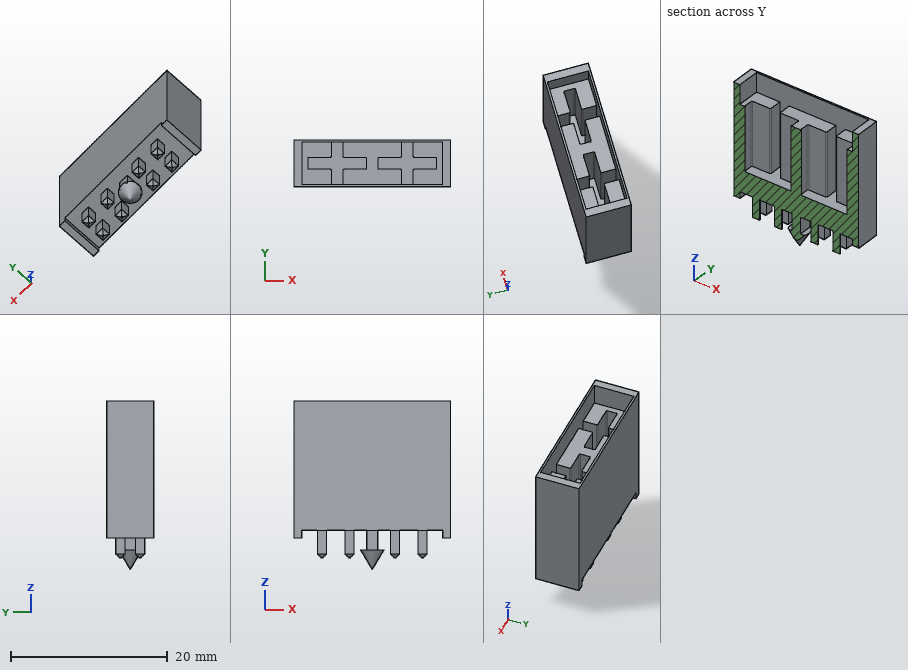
import cadquery as cq

housing_length = 20.0
housing_width = 6.0
housing_height = 16.5
foot_length = 1.03
foot_height = 0.99

recess_length = 17.93
recess_width = 5.45
recess_depth = 3.0

slot_spacing = 8.95
slot_width = 1.5
slot_length = 7.5
slot_depth = 10.0
slot_corner_radius = 0.15

pin_size = 1.2
pin_length = 3.5
pin_taper = 0.5
outer_pin_x = 6.4
inner_pin_x = 2.9
pin_row_y = 1.25

total_height = 21.5
post_size_x = 1.46
post_size_y = 2.43
post_length = 2.5
head_radius = 1.5
head_height = total_height - housing_height - post_length


def make_housing():
    """Rectangular body standing on a foot at each end, with an open-topped recess."""
    body = cq.Workplane("XY").box(
        housing_length, housing_width, housing_height, centered=(True, True, False)
    )
    foot_x = (housing_length - foot_length) / 2
    feet = (
        cq.Workplane("XY")
        .pushPoints([(-foot_x, 0), (foot_x, 0)])
        .rect(foot_length, housing_width)
        .extrude(-foot_height)
    )
    recess = (
        cq.Workplane("XY", origin=(0, 0, housing_height))
        .rect(recess_length, recess_width)
        .extrude(-recess_depth)
    )
    return body.union(feet).cut(recess)


def make_cross_slot(center_x):
    """Cutter for one cross: a long bar in X and a bar across the full recess width."""
    floor = cq.Workplane("XY", origin=(center_x, 0, housing_height - recess_depth))
    long_bar = floor.rect(slot_length, slot_width).extrude(-slot_depth)
    cross_bar = floor.rect(slot_width, recess_width).extrude(-slot_depth)
    long_bar_ends = cq.selectors.BoxSelector(
        (center_x - slot_length, -slot_width, -housing_height),
        (center_x + slot_length, slot_width, housing_height),
    )
    return long_bar.union(cross_bar).edges("|Z").edges(long_bar_ends).fillet(slot_corner_radius)


def make_pin(x, y):
    """Square pin pointing down, with its end tapered on all four sides."""
    pin = cq.Workplane("XY", origin=(x, y, 0)).rect(pin_size, pin_size).extrude(-pin_length)
    return pin.faces("<Z").chamfer(pin_taper)


def make_post():
    """Rectangular post carrying a downward-pointing cone."""
    post = cq.Workplane("XY").rect(post_size_x, post_size_y).extrude(-post_length)
    head = cq.Solid.makeCone(
        head_radius, 0, head_height, pnt=cq.Vector(0, 0, -post_length), dir=cq.Vector(0, 0, -1)
    )
    return post.union(cq.Workplane(head))


result = make_housing()
for side in (-1, 1):
    result = result.cut(make_cross_slot(side * slot_spacing / 2))
for x in (-outer_pin_x, -inner_pin_x, inner_pin_x, outer_pin_x):
    for y in (-pin_row_y, pin_row_y):
        result = result.union(make_pin(x, y))
result = result.union(make_post())